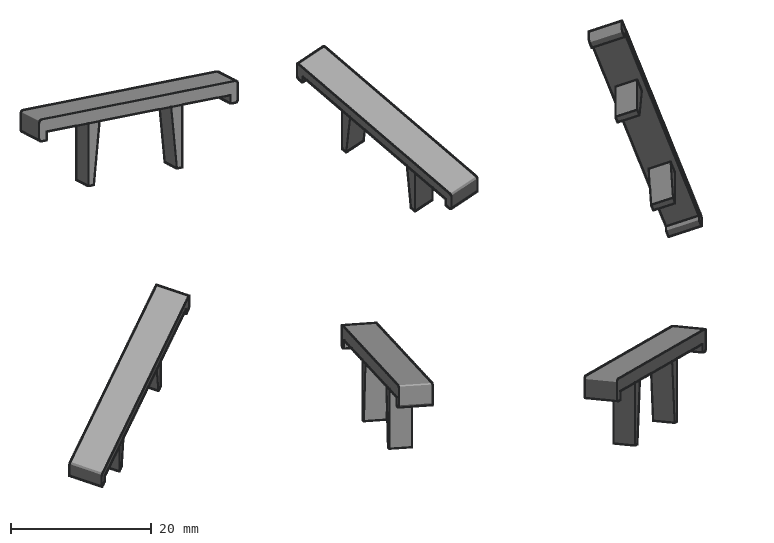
import cadquery as cq

length = 33.3
width = 5.0
bar_thickness = 2.0
lip_depth = 3.3
lip_thickness = 1.25
end_edge_radius = 0.43
lip_inner_radius = 0.13

total_height = 11.75
leg_width = 3.33
leg_outer_y = 7.9
leg_root_thickness = 1.93
leg_tip_thickness = 0.93


def extrude_profile(points, depth):
    """Extrude a closed (Y, Z) outline along X, centred on X = 0."""
    return cq.Workplane("YZ").polyline(points).close().extrude(depth / 2, both=True)


def make_bar():
    """Bar with its top at Z = 0, lips hanging down and lip edges rounded."""
    end_y = length / 2
    inner_y = end_y - lip_thickness
    bar = extrude_profile(
        [
            (-end_y, 0),
            (end_y, 0),
            (end_y, -lip_depth),
            (inner_y, -lip_depth),
            (inner_y, -bar_thickness),
            (-inner_y, -bar_thickness),
            (-inner_y, -lip_depth),
            (-end_y, -lip_depth),
        ],
        width,
    )
    bar = bar.faces("<Y or >Y").edges("|X").fillet(end_edge_radius)
    reach_y = inner_y + lip_inner_radius
    inner_box = cq.selectors.BoxSelector((-width, -reach_y, -total_height), (width, reach_y, -lip_depth / 2))
    lip_inner_edges = bar.faces("<Z").edges("|X").edges(inner_box)
    return lip_inner_edges.fillet(lip_inner_radius)


def make_leg(side):
    """Leg with a vertical outer face and a sloped inner face; side is +1 or -1 along Y."""
    return extrude_profile(
        [
            (side * leg_outer_y, -bar_thickness),
            (side * leg_outer_y, -total_height),
            (side * (leg_outer_y - leg_tip_thickness), -total_height),
            (side * (leg_outer_y - leg_root_thickness), -bar_thickness),
        ],
        leg_width,
    )


result = make_bar()
for side in (-1, 1):
    result = result.union(make_leg(side))